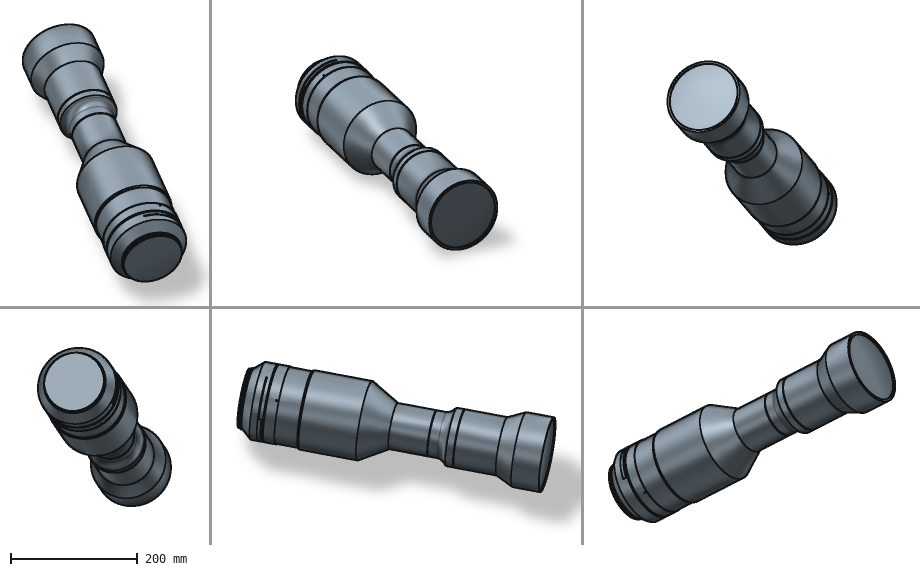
import cadquery as cq
import math

length = 490.0
head_end = 44.5
barrel_start = 72.5
barrel_groove = 140.5
barrel_end = 154.0
shoulder_end = 156.5
neck_start = 169.5
neck_groove = 184.5
flare_start = 248.5
body_start = 294.5
body_end = 387.0
sleeve_start = 390.0
collar_start = 427.0
collar_groove = 445.0
window_start = 449.5
scribe_start = 454.0
collar_end = 467.0
nose_end = 482.5
flange_end = 485.5
cap_start = 487.5

outer_diameter = 128.0
head_radius = 60.5
lens_radius = 56.5
barrel_radius = 47.0
shoulder_radius = 45.0
neck_radius = 37.0
body_radius = outer_diameter / 2
body_step_radius = 62.5
sleeve_radius = 61.5
collar_radius = 62.5
flange_radius = 49.5
cap_groove_radius = 47.0
cap_radius = 48.0

lens_recess = 2.0
lens_rise = 1.0

shoulder_sag = 1.5

fine_groove_width = 1.0
fine_groove_depth = 0.5
collar_groove_width = 2.0
collar_groove_depth = 1.0

scribe_width = 1.5
scribe_depth = 0.5
scribe_end_angle = 93.0
window_depth = 0.5
window_half_angle = 28.0

notch_count = 3
notch_length = 4.5
notch_width = 1.5
notch_depth = 1.0
first_notch_angle = 180.0


def turned_body():
    """Solid turned about the X axis."""
    chord_x = neck_start - shoulder_end
    chord_r = neck_radius - shoulder_radius
    chord = math.hypot(chord_x, chord_r)
    sweep_middle = (
        shoulder_end + chord_x / 2 + shoulder_sag * chord_r / chord,
        shoulder_radius + chord_r / 2 - shoulder_sag * chord_x / chord,
    )
    profile = (
        cq.Workplane("XY")
        .moveTo(lens_recess - lens_rise, 0)
        .lineTo(lens_recess, lens_radius)
        .lineTo(0, lens_radius)
        .lineTo(0, head_radius)
        .lineTo(head_end, head_radius)
        .lineTo(barrel_start, barrel_radius)
        .lineTo(barrel_end, barrel_radius)
        .lineTo(shoulder_end, shoulder_radius)
        .threePointArc(sweep_middle, (neck_start, neck_radius))
        .lineTo(flare_start, neck_radius)
        .lineTo(body_start, body_radius)
        .lineTo(body_end, body_radius)
        .lineTo(sleeve_start, body_step_radius)
        .lineTo(sleeve_start, sleeve_radius)
        .lineTo(collar_start, sleeve_radius)
        .lineTo(collar_start, collar_radius)
        .lineTo(collar_end, collar_radius)
        .lineTo(nose_end, flange_radius)
        .lineTo(flange_end, flange_radius)
        .lineTo(flange_end, cap_groove_radius)
        .lineTo(cap_start, cap_groove_radius)
        .lineTo(cap_start, cap_radius)
        .lineTo(length, cap_radius)
        .lineTo(length, 0)
        .close()
    )
    return profile.revolve(360, (0, 0, 0), (1, 0, 0))


def groove(start, width, surface_radius, depth, from_angle=0.0, to_angle=360.0):
    """Cutter for a groove around the X axis, all the way round or over part of the turn."""
    section = (
        cq.Workplane("XY")
        .moveTo(start, surface_radius - depth)
        .lineTo(start + width, surface_radius - depth)
        .lineTo(start + width, surface_radius + depth)
        .lineTo(start, surface_radius + depth)
        .close()
    )
    swept = section.revolve(to_angle - from_angle, (0, 0, 0), (1, 0, 0))
    return swept.rotate((0, 0, 0), (1, 0, 0), from_angle)


def index_notches():
    """Cutters for the index notches, spaced evenly around the collar."""
    half_angle = math.degrees(notch_width / 2 / collar_radius)
    notches = []
    for i in range(notch_count):
        angle = first_notch_angle - i * 360 / notch_count
        notch = groove(
            collar_start,
            notch_length,
            collar_radius,
            notch_depth,
            angle - half_angle,
            angle + half_angle,
        )
        notches.append(notch)
    return notches


cutters = [
    groove(barrel_groove, fine_groove_width, barrel_radius, fine_groove_depth),
    groove(neck_groove, fine_groove_width, neck_radius, fine_groove_depth),
    groove(collar_groove, collar_groove_width, collar_radius, collar_groove_depth),
    groove(scribe_start, scribe_width, collar_radius, scribe_depth, -window_half_angle, scribe_end_angle),
    groove(
        window_start,
        scribe_start - window_start,
        collar_radius,
        window_depth,
        -window_half_angle,
        window_half_angle,
    ),
]
cutters += index_notches()

result = turned_body()
for cutter in cutters:
    result = result.cut(cutter)